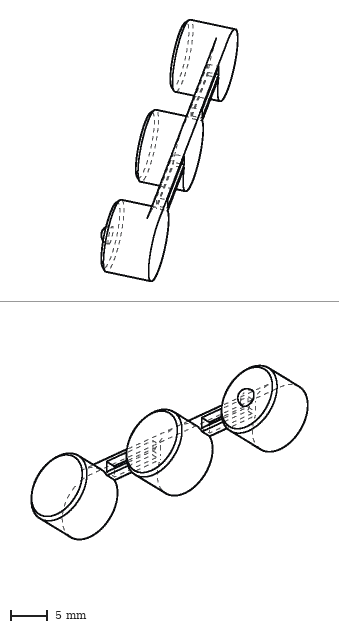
import cadquery as cq

body_count = 3
body_diameter = 10.0
body_length = 6.8
body_pitch = 17.05
front_chamfer = 0.45

pip_radius = 1.25

strip_thickness = 1.6
strip_height = 2.75

window_length = 8.25
window_height = 1.65
top_rail_height = 0.5

body_radius = body_diameter / 2
strip_length = (body_count - 1) * body_pitch
front_x = -body_length


def make_body(y):
    """Cylinder with a chamfered front edge, its axis at the given Y."""
    cylinder = (
        cq.Workplane("YZ", origin=(front_x, y, 0))
        .circle(body_radius)
        .extrude(body_length)
    )
    return cylinder.faces("<X").chamfer(front_chamfer)


def make_strip():
    """Flat strip running from the first body axis to the last."""
    return cq.Workplane("XY").box(
        strip_thickness, strip_length, strip_height, centered=False
    ).translate((-strip_thickness, 0, body_radius - strip_height))


def make_window(y):
    """Cutter for one rectangular window centred at the given Y."""
    window_z = body_radius - top_rail_height - window_height / 2
    return cq.Workplane("XY").box(strip_thickness, window_length, window_height).translate(
        (-strip_thickness / 2, y, window_z)
    )


def make_pip():
    """Ball centred on the front face, so that half of it stands proud."""
    return cq.Workplane("XY").sphere(pip_radius).translate((front_x, 0, 0))


result = make_strip()
for gap in range(body_count - 1):
    result = result.cut(make_window((gap + 0.5) * body_pitch))
for position in range(body_count):
    result = result.union(make_body(position * body_pitch))
result = result.union(make_pip())